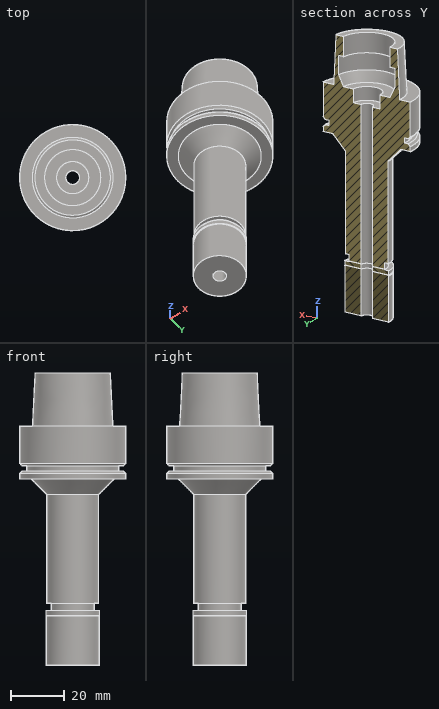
import cadquery as cq

TOTAL_HEIGHT = 110.0
NUT_HEIGHT = 18.7
RING_TOP = 20.7
NECK_TOP = 23.3
SHANK_TOP = 64.2
FLANGE_BOTTOM = 70.1
GROOVE_BOTTOM = 73.2
GROOVE_TOP = 75.0
FLANGE_TOP = 90.0

NUT_RADIUS = 10.0
RING_RADIUS = 10.1
NECK_RADIUS = 8.1
SHANK_RADIUS = 9.8
FLANGE_RADIUS = 20.0
GROOVE_RADIUS = 17.4
TAPER_BASE_RADIUS = 15.2
TAPER_TIP_RADIUS = 14.2
CONE_TOP_RADIUS = SHANK_RADIUS + FLANGE_BOTTOM - SHANK_TOP
FLANGE_CHAMFER = 1.0
NUT_CHAMFER = 0.2

THROUGH_HOLE_RADIUS = 2.5
COUNTERBORE_RADIUS = 6.0
MOUTH_RADIUS = 10.6
CLAMP_GROOVE_RADIUS = 12.8
MOUTH_DEPTH = 8.1
CLAMP_GROOVE_DEPTH = 15.7
SOCKET_DEPTH = 20.0
COUNTERBORE_DEPTH = 5.5


def turned(profile):
    """Revolve a closed (radius, height) outline about the Z axis."""
    return cq.Workplane("XZ").polyline(profile).close().revolve(360, (0, 0, 0), (0, 1, 0))


def sleeve(radius, bottom, top):
    """Make a cylinder with the central through hole."""
    return (
        cq.Workplane("XY", origin=(0, 0, bottom))
        .circle(radius)
        .circle(THROUGH_HOLE_RADIUS)
        .extrude(top - bottom)
    )


def make_holder():
    """Tapered hollow shank, grooved flange, cone and stem with a neck."""
    chamfered_radius = FLANGE_RADIUS - FLANGE_CHAMFER
    socket_floor = TOTAL_HEIGHT - SOCKET_DEPTH
    counterbore_floor = socket_floor - COUNTERBORE_DEPTH
    clamp_groove_top = TOTAL_HEIGHT - MOUTH_DEPTH
    clamp_groove_bottom = TOTAL_HEIGHT - CLAMP_GROOVE_DEPTH
    outside = [
        (NECK_RADIUS, RING_TOP),
        (NECK_RADIUS, NECK_TOP),
        (SHANK_RADIUS, NECK_TOP),
        (SHANK_RADIUS, SHANK_TOP),
        (CONE_TOP_RADIUS, FLANGE_BOTTOM),
        (FLANGE_RADIUS, FLANGE_BOTTOM),
        (FLANGE_RADIUS, GROOVE_BOTTOM - FLANGE_CHAMFER),
        (chamfered_radius, GROOVE_BOTTOM),
        (GROOVE_RADIUS, GROOVE_BOTTOM),
        (GROOVE_RADIUS, GROOVE_TOP),
        (chamfered_radius, GROOVE_TOP),
        (FLANGE_RADIUS, GROOVE_TOP + FLANGE_CHAMFER),
        (FLANGE_RADIUS, FLANGE_TOP),
        (TAPER_BASE_RADIUS, FLANGE_TOP),
        (TAPER_TIP_RADIUS, TOTAL_HEIGHT),
    ]
    inside = [
        (MOUTH_RADIUS, TOTAL_HEIGHT),
        (MOUTH_RADIUS, clamp_groove_top),
        (CLAMP_GROOVE_RADIUS, clamp_groove_top),
        (CLAMP_GROOVE_RADIUS, clamp_groove_bottom),
        (MOUTH_RADIUS, socket_floor),
        (COUNTERBORE_RADIUS, socket_floor),
        (COUNTERBORE_RADIUS, counterbore_floor),
        (THROUGH_HOLE_RADIUS, counterbore_floor),
        (THROUGH_HOLE_RADIUS, RING_TOP),
    ]
    return turned(outside + inside)


def make_ring():
    """Plain ring between the neck and the nut."""
    return sleeve(RING_RADIUS, NUT_HEIGHT, RING_TOP)


def make_nut():
    """Cylindrical nut with a fine chamfer on the outer edge of its upper face."""
    nut = sleeve(NUT_RADIUS, 0, NUT_HEIGHT)
    return nut.faces(">Z").edges(cq.selectors.RadiusNthSelector(-1)).chamfer(NUT_CHAMFER)


holder = make_holder()
ring = make_ring()
nut = make_nut()

result = cq.Compound.makeCompound([holder.val(), ring.val(), nut.val()])